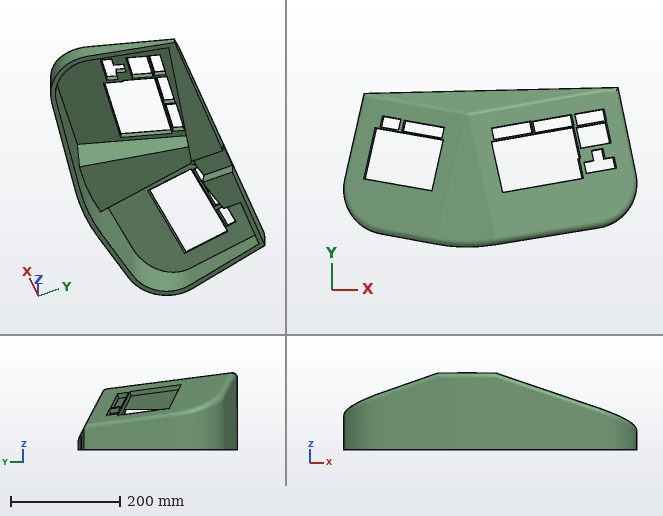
import cadquery as cq
import math

BACK_LEFT = (-230.8, 135.2)
BACK_RIGHT = (234.3, 146.2)
FRONT_RIGHT = (284.5, -97.3)
FRONT_MIDDLE = (-45.4, -150.93)
FRONT_LEFT = (-285.3, -106.3)
CORNER_RADIUS = 83.0
NOSE_RADIUS = 314.0

LEFT_POINT = (-43.4, 94.9, 110.8)
LEFT_RISE = (0.312, -0.2045)
RIGHT_POINT = (-37.2, 94.9, 110.8)
RIGHT_RISE = (-0.308, -0.197)
MIDDLE_POINT = (-40.3, 94.9, 111.4)
MIDDLE_RISE = (0.0, -0.129)
BACK_POINT = (-40.3, 99.5, 108.4)
BACK_RISE = (-0.003, -1.916)
ROW_ANGLE = 10.0

EDGE_FILLET = 10.0
PLATE_THICKNESS = 9.0
WALL = 9.0

LEFT_POCKET_INNER = -20.0
LEFT_POCKET_BACK = -4.2
RIGHT_POCKET_INNER = 20.0
RIGHT_POCKET_BACK = -7.0
LEFT_POCKET_RECESS_X = -129.0
CORE_HEIGHT = 73.6
CORE_TIP = (-38.2, 77.8)

CABLE_CENTER_X = -38.0
CABLE_WIDTH = 49.0
CABLE_HEIGHT = 23.5
CABLE_FRONT_Y = 0.0

LEFT_WINDOWS = [
    (-158.5, -122.5, -48.5, -27.6),
    (-115.5, -37.0, -49.0, -28.6),
    (-167.5, -33.7, -148.0, -51.5),
]
RIGHT_WINDOWS = [
    (36.0, 113.0, -51.5, -29.8),
    (116.4, 192.5, -52.2, -30.8),
    (198.9, 256.2, -53.0, -31.0),
    (196.2, 255.4, -95.0, -56.0),
    (30.0, 191.5, -113.0, -54.4),
    (30.0, 188.5, -150.5, -113.0),
    (196.2, 255.2, -142.6, -121.6),
    (215.3, 237.6, -121.6, -102.8),
]

BASE_EDGE_LIMIT = 1.0
UPRIGHT_LIMIT = 0.99

TALL = 200.0
FAR = 400.0
WINDOW_REACH = 2 * PLATE_THICKNESS


def roof_plane(point, rise, row_angle=0.0):
    """Sloped plane whose local X runs along the window rows and local Z points out of the part."""
    rise_x, rise_y = rise
    row_x = math.cos(math.radians(row_angle))
    row_y = math.sin(math.radians(row_angle))
    row = (row_x, row_y, rise_x * row_x + rise_y * row_y)
    return cq.Plane(origin=point, xDir=row, normal=(-rise_x, -rise_y, 1))


LEFT_PLANE = roof_plane(LEFT_POINT, LEFT_RISE, -ROW_ANGLE)
RIGHT_PLANE = roof_plane(RIGHT_POINT, RIGHT_RISE, ROW_ANGLE)
MIDDLE_PLANE = roof_plane(MIDDLE_POINT, MIDDLE_RISE)
BACK_PLANE = roof_plane(BACK_POINT, BACK_RISE)


def plan_prism():
    """Tall prism on the plan outline, with its two front corners and its nose rounded."""
    outline = [BACK_LEFT, BACK_RIGHT, FRONT_RIGHT, FRONT_MIDDLE, FRONT_LEFT]
    prism = cq.Workplane("XY").polyline(outline).close().extrude(TALL)
    roundings = [
        (FRONT_LEFT, CORNER_RADIUS),
        (FRONT_RIGHT, CORNER_RADIUS),
        (FRONT_MIDDLE, NOSE_RADIUS),
    ]
    for corner, radius in roundings:
        upright = cq.selectors.NearestToPointSelector((*corner, TALL / 2))
        prism = prism.edges(upright).fillet(radius)
    return prism


def trim_to_roof(solid, depth, back_depth):
    """Cut away all that lies above the roof planes, each lowered along its normal."""
    cuts = [(LEFT_PLANE, depth), (MIDDLE_PLANE, depth), (RIGHT_PLANE, depth), (BACK_PLANE, back_depth)]
    for plane, lowering in cuts:
        surface = cq.Workplane(plane).workplane(offset=-lowering)
        solid = solid.cut(surface.rect(4 * FAR, 4 * FAR).extrude(FAR))
    return solid


def is_roof_edge(edge):
    """True for edges above the base that are not upright."""
    is_upright = edge.geomType() == "LINE" and abs(edge.tangentAt(0).z) > UPRIGHT_LIMIT
    is_above_base = min(edge.startPoint().z, edge.endPoint().z) > BASE_EDGE_LIMIT
    return is_above_base and not is_upright


def outer_body():
    body = trim_to_roof(plan_prism(), 0, 0).val()
    roof_edges = [edge for edge in body.Edges() if is_roof_edge(edge)]
    return cq.Workplane(body.fillet(EDGE_FILLET, roof_edges))


def panel_slab(plane, x_range, y_range):
    """Block square to a panel, through the whole part, over the given local X and Y ranges."""
    x_low, x_high = x_range
    y_low, y_high = y_range
    slab = cq.Workplane(plane).center((x_low + x_high) / 2, (y_low + y_high) / 2)
    return slab.rect(x_high - x_low, y_high - y_low).extrude(FAR, both=True)


def rear_block():
    """Solid left standing behind the back walls of both pockets."""
    behind_left = panel_slab(LEFT_PLANE, (-FAR, FAR), (LEFT_POCKET_BACK, FAR))
    behind_right = panel_slab(RIGHT_PLANE, (-FAR, FAR), (RIGHT_POCKET_BACK, FAR))
    right_of_recess = cq.Workplane("XY").box(2 * FAR, 2 * FAR, TALL, centered=(False, True, False))
    right_of_recess = right_of_recess.translate((LEFT_POCKET_RECESS_X, 0, 0))
    return behind_left.intersect(behind_right).intersect(right_of_recess)


def middle_wedge():
    """Solid left standing between the two pockets, above and beside the core."""
    beside_left = panel_slab(LEFT_PLANE, (LEFT_POCKET_INNER, FAR), (-FAR, FAR))
    beside_right = panel_slab(RIGHT_PLANE, (-FAR, RIGHT_POCKET_INNER), (-FAR, FAR))
    tip_x, tip_y = CORE_TIP
    core_outline = [CORE_TIP, (tip_x - FAR, tip_y - FAR), (FAR, tip_y - FAR), (FAR, FAR), (tip_x, FAR)]
    core = cq.Workplane("XY").polyline(core_outline).close().extrude(CORE_HEIGHT)
    return beside_left.intersect(beside_right).cut(core)


def cavity():
    """Space under the roof, open at the base."""
    floor = plan_prism().faces("<Z").wires().val()
    inner_outline = floor.offset2D(-WALL)[0]
    prism = cq.Workplane(cq.Solid.extrudeLinear(inner_outline, [], cq.Vector(0, 0, TALL)))
    under_roof = trim_to_roof(prism, PLATE_THICKNESS, WALL)
    return under_roof.cut(rear_block()).cut(middle_wedge())


def cable_opening():
    opening = cq.Workplane("XY").box(CABLE_WIDTH, FAR, CABLE_HEIGHT, centered=(True, False, False))
    return opening.translate((CABLE_CENTER_X, CABLE_FRONT_Y, 0))


def cut_windows(body, plane, windows):
    """Cut the windows square to the panel, through its plate."""
    for left, right, bottom, top in windows:
        window = cq.Workplane(plane).center((left + right) / 2, (bottom + top) / 2)
        window = window.rect(right - left, top - bottom).extrude(WINDOW_REACH, both=True)
        body = body.cut(window)
    return body


result = outer_body().cut(cavity()).cut(cable_opening())
result = cut_windows(result, LEFT_PLANE, LEFT_WINDOWS)
result = cut_windows(result, RIGHT_PLANE, RIGHT_WINDOWS)